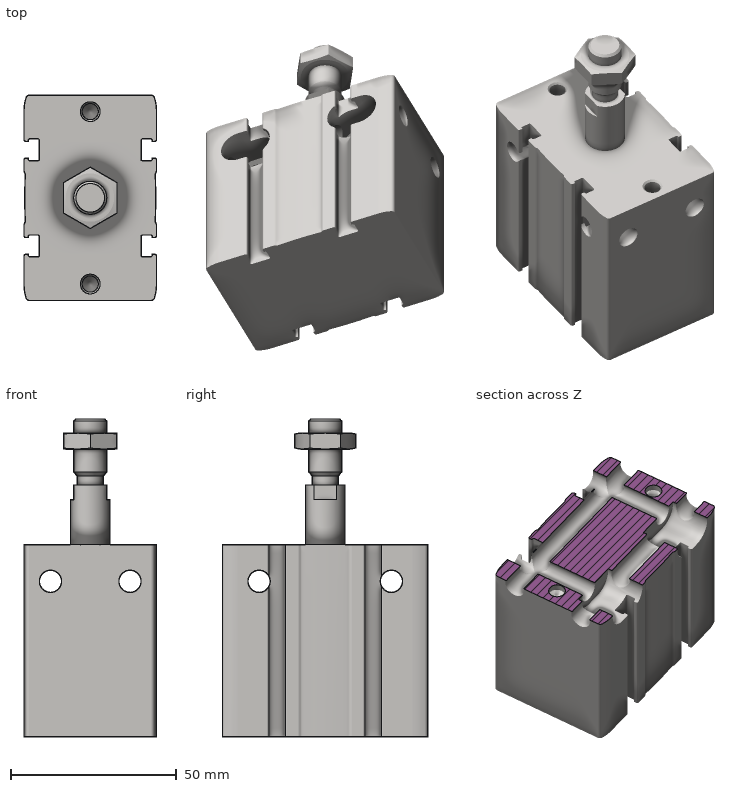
import cadquery as cq
import math

housing_width = 40.0
housing_length = 62.0
housing_height = 58.0
half_width = housing_width / 2
half_length = housing_length / 2

end_face_half_width = 18.3
corner_knee_x = 19.4
corner_knee_y = 30.2
side_flat_half_length = 26.4

recess_edge_depth = 0.4
recess_crown_depth = 0.2
recess_mouth_half_length = 8.0
recess_floor_half_length = 7.2
recess_blend_radius = 0.7

slot_offset = 14.5
slot_mouth_width = 5.0
slot_channel_width = 6.5
slot_lip_thickness = 1.3
slot_depth = 4.6
slot_lip_radius = 0.6
slot_channel_radius = 0.4

edge_search_margin = 0.5

cross_hole_diameter = 6.6
cross_hole_drop = 11.0
cross_hole_z = housing_height - cross_hole_drop
end_hole_offset = 12.0
side_hole_offset = 20.0
pocket_height = 11.0
pocket_length = 16.0
pocket_depth = 12.5

tapped_hole_offset = 26.0
tapped_hole_diameter = 4.9
tapped_hole_depth = 12.0
tapped_countersink_diameter = 6.0
drill_point_angle = 118

total_height = 96.0
rod_diameter = 12.0
stud_diameter = 10.0
stud_length = 20.0
stud_chamfer = 0.7
neck_diameter = 8.0
neck_length = 2.7
neck_cone_height = 1.2
rod_flats_width = 10.0
rod_flats_height = 4.4
shoulder_z = total_height - stud_length

nut_width = 16.0
nut_thickness = 5.0
nut_top_gap = 4.2
nut_face_diameter = 14.6
nut_corner_drop = 0.4
nut_corner_diameter = nut_width / math.cos(math.radians(30))


def make_housing_block():
    quarter = (
        cq.Workplane("XY")
        .lineTo(half_width, 0)
        .lineTo(half_width, side_flat_half_length)
        .tangentArcPoint((corner_knee_x, corner_knee_y), relative=False)
        .tangentArcPoint((end_face_half_width, half_length), relative=False)
        .lineTo(0, half_length)
        .close()
        .extrude(housing_height)
    )
    half = quarter.union(quarter.mirror("YZ"))
    return half.union(half.mirror("XZ")).clean()


def make_side_recess(side):
    face_x = side * half_width
    edge_x = side * (half_width - recess_edge_depth)
    crown_x = side * (half_width - recess_crown_depth)
    return (
        cq.Workplane("XY")
        .moveTo(face_x, -recess_mouth_half_length)
        .lineTo(edge_x, -recess_floor_half_length)
        .threePointArc((crown_x, 0), (edge_x, recess_floor_half_length))
        .lineTo(face_x, recess_mouth_half_length)
        .close()
        .extrude(housing_height)
    )


def make_sensor_slot(side, y):
    channel_depth = slot_depth - slot_lip_thickness
    channel_x = side * (half_width - slot_lip_thickness - channel_depth / 2)
    mouth_x = side * (half_width - slot_depth / 2)
    channel = (
        cq.Workplane("XY")
        .center(channel_x, y)
        .rect(channel_depth, slot_channel_width)
        .extrude(housing_height)
        .edges("|Z")
        .fillet(slot_channel_radius)
    )
    mouth = (
        cq.Workplane("XY")
        .center(mouth_x, y)
        .rect(slot_depth, slot_mouth_width)
        .extrude(housing_height)
    )
    return channel.union(mouth)


def make_screw_pocket(side):
    pocket_y = side * (side_hole_offset + pocket_height / 2 - pocket_length / 2)
    return (
        cq.Workplane("YZ", origin=(-half_width, pocket_y, cross_hole_z))
        .slot2D(pocket_length, pocket_height)
        .extrude(pocket_depth)
    )


def make_tapped_hole(y):
    radius = tapped_hole_diameter / 2
    mouth_radius = tapped_countersink_diameter / 2
    countersink_depth = mouth_radius - radius
    point_height = radius / math.tan(math.radians(drill_point_angle / 2))
    return (
        cq.Workplane("XZ", origin=(0, y, housing_height))
        .polyline([
            (0, 0),
            (mouth_radius, 0),
            (radius, -countersink_depth),
            (radius, -tapped_hole_depth),
            (0, -tapped_hole_depth - point_height),
        ])
        .close()
        .revolve(360, (0, 0), (0, 1))
    )


def blend_side_edges(housing, half_spans, radius):
    """Round the vertical edges near both long sides whose |Y| lies within half_spans."""
    near, far = half_spans
    for side_x in (-half_width, half_width):
        for low_y, high_y in ((-far, -near), (near, far)):
            corner_a = (side_x - edge_search_margin, low_y, 0)
            corner_b = (side_x + edge_search_margin, high_y, housing_height)
            region = cq.selectors.BoxSelector(corner_a, corner_b)
            housing = housing.edges("|Z").edges(region).fillet(radius)
    return housing


def make_housing():
    housing = make_housing_block()
    for side in (-1, 1):
        housing = housing.cut(make_side_recess(side))
        for y in (-slot_offset, slot_offset):
            housing = housing.cut(make_sensor_slot(side, y))

    recess_span = (
        recess_floor_half_length - edge_search_margin,
        recess_mouth_half_length + edge_search_margin,
    )
    housing = blend_side_edges(housing, recess_span, recess_blend_radius)
    slot_span = (slot_offset - slot_channel_width / 2, slot_offset + slot_channel_width / 2)
    housing = blend_side_edges(housing, slot_span, slot_lip_radius)

    end_holes = (
        cq.Workplane("XZ", origin=(0, half_length, cross_hole_z))
        .pushPoints([(-end_hole_offset, 0), (end_hole_offset, 0)])
        .circle(cross_hole_diameter / 2)
        .extrude(housing_length)
    )
    side_holes = (
        cq.Workplane("YZ", origin=(-half_width, 0, cross_hole_z))
        .pushPoints([(-side_hole_offset, 0), (side_hole_offset, 0)])
        .circle(cross_hole_diameter / 2)
        .extrude(housing_width)
    )
    housing = housing.cut(end_holes).cut(side_holes)
    for side in (-1, 1):
        housing = housing.cut(make_screw_pocket(side))
        housing = housing.cut(make_tapped_hole(side * tapped_hole_offset))
    return housing


def make_rod():
    rod_radius = rod_diameter / 2
    stud_radius = stud_diameter / 2
    neck_radius = neck_diameter / 2
    neck_top_z = shoulder_z + neck_length
    rod = (
        cq.Workplane("XZ")
        .polyline([
            (0, housing_height),
            (rod_radius, housing_height),
            (rod_radius, shoulder_z),
            (neck_radius, shoulder_z),
            (neck_radius, neck_top_z),
            (stud_radius, neck_top_z + neck_cone_height),
            (stud_radius, total_height - stud_chamfer),
            (stud_radius - stud_chamfer, total_height),
            (0, total_height),
        ])
        .close()
        .revolve(360, (0, 0), (0, 1))
    )
    flats_z = shoulder_z - rod_flats_height
    for side in (-1, 1):
        flat_cut = (
            cq.Workplane("XY", origin=(side * rod_flats_width, 0, flats_z))
            .rect(rod_flats_width, rod_diameter)
            .extrude(rod_flats_height)
        )
        rod = rod.cut(flat_cut)
    return rod


def make_nut():
    bottom_z = total_height - nut_top_gap - nut_thickness
    top_z = bottom_z + nut_thickness
    hexagon = (
        cq.Workplane("XY", origin=(0, 0, bottom_z))
        .transformed(rotate=(0, 0, 90))
        .polygon(6, nut_corner_diameter)
        .extrude(nut_thickness)
    )
    corner_radius = nut_corner_diameter / 2
    face_radius = nut_face_diameter / 2
    envelope = (
        cq.Workplane("XZ")
        .polyline([
            (0, bottom_z),
            (face_radius, bottom_z),
            (corner_radius, bottom_z + nut_corner_drop),
            (corner_radius, top_z - nut_corner_drop),
            (face_radius, top_z),
            (0, top_z),
        ])
        .close()
        .revolve(360, (0, 0), (0, 1))
    )
    bore = (
        cq.Workplane("XY", origin=(0, 0, bottom_z))
        .circle(stud_diameter / 2)
        .extrude(nut_thickness)
    )
    return hexagon.intersect(envelope).cut(bore)


housing = make_housing()
rod = make_rod()
nut = make_nut()

result = cq.Compound.makeCompound([housing.val(), rod.val(), nut.val()])